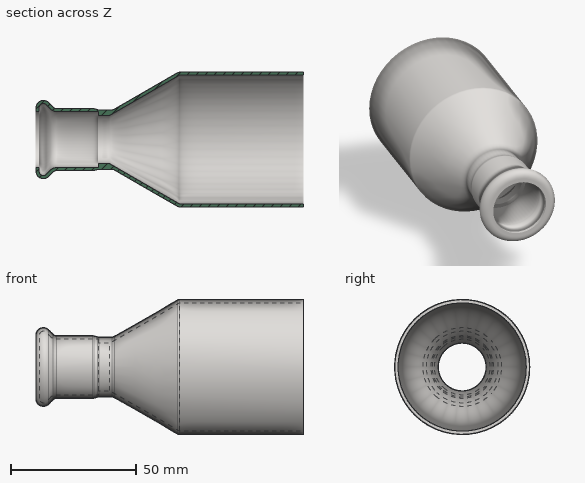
import cadquery as cq
import math

LENGTH = 107.0
BODY_RADIUS = 54.0 / 2
SOCKET_RADIUS = 25.0 / 2
NECK_RADIUS = 24.0 / 2
WALL = 1.4

BEAD_RADIUS = 15.7
BEAD_ROUND = 3.0
BEAD_ANGLE = math.radians(45)
BEAD_ROOT_ROUND = 1.8
STEP_START = 23.0
STEP_END = 24.9
STEP_ROUND = 2.4
CONE_START = 30.9
CONE_ANGLE = math.radians(30)
CONE_ROUND = 1.8

SOCKET_BORE = SOCKET_RADIUS - WALL
NECK_BORE = 9.5
BODY_BORE = BODY_RADIUS - WALL
GROOVE_START = WALL
GROOVE_ROUND = BEAD_ROUND - WALL

BEAD_BACK = BEAD_ROUND * (1 + math.tan(BEAD_ANGLE / 2))
BEAD_END = BEAD_BACK + (BEAD_RADIUS - SOCKET_RADIUS) / math.tan(BEAD_ANGLE)
CONE_END = CONE_START + (BODY_RADIUS - NECK_RADIUS) / math.tan(CONE_ANGLE)
GROOVE_END = BEAD_END - WALL * math.tan(BEAD_ANGLE / 2)
BEAD_CORNER = SOCKET_RADIUS + BEAD_END * math.tan(BEAD_ANGLE)
GROOVE_CORNER = SOCKET_BORE + (GROOVE_END - GROOVE_START) * math.tan(BEAD_ANGLE)
CONE_BORE_END = CONE_END + WALL * math.tan(CONE_ANGLE / 2)
CONE_BORE_START = CONE_BORE_END - (BODY_BORE - NECK_BORE) / math.tan(CONE_ANGLE)


def rounded_profile(corners):
    """Closed (x, radius) outline whose corners carry tangent arcs of the given round."""
    minimum_line = 1.07e-06
    profile = None
    for index, (x, y, rounding) in enumerate(corners):
        corner = cq.Vector(x, y)
        before = cq.Vector(*corners[index - 1][:2])
        after = cq.Vector(*corners[(index + 1) % len(corners)][:2])
        to_before = (before - corner).normalized()
        to_after = (after - corner).normalized()
        half_angle = to_before.getAngle(to_after) / 2
        tangent_length = rounding / math.tan(half_angle)
        start = corner + to_before * tangent_length
        end = corner + to_after * tangent_length
        if profile is None:
            profile = cq.Workplane("XY").moveTo(start.x, start.y)
            last = start
        if (start - last).Length > minimum_line:
            profile = profile.lineTo(start.x, start.y)
        if rounding > 0:
            bisector = (to_before + to_after).normalized()
            middle = corner + bisector * (rounding / math.sin(half_angle) - rounding)
            profile = profile.threePointArc((middle.x, middle.y), (end.x, end.y))
        last = end
    return profile.close()


def turned(corners):
    """Solid of revolution about X."""
    return rounded_profile(corners).revolve(360, (0, 0, 0), (1, 0, 0))


def outside():
    return turned([
        (0, 0, 0),
        (0, BEAD_CORNER, BEAD_ROUND),
        (BEAD_END, SOCKET_RADIUS, BEAD_ROOT_ROUND),
        (STEP_START, SOCKET_RADIUS, STEP_ROUND),
        (STEP_END, NECK_RADIUS, STEP_ROUND),
        (CONE_START, NECK_RADIUS, CONE_ROUND),
        (CONE_END, BODY_RADIUS, CONE_ROUND),
        (LENGTH, BODY_RADIUS, 0),
        (LENGTH, 0, 0),
    ])


def inside():
    return turned([
        (0, 0, 0),
        (0, SOCKET_BORE, 0),
        (GROOVE_START, SOCKET_BORE, 0),
        (GROOVE_START, GROOVE_CORNER, GROOVE_ROUND),
        (GROOVE_END, SOCKET_BORE, BEAD_ROOT_ROUND + WALL),
        (STEP_END, SOCKET_BORE, 0),
        (STEP_END, NECK_BORE, 0),
        (CONE_BORE_START, NECK_BORE, 0),
        (CONE_BORE_END, BODY_BORE, 0),
        (LENGTH, BODY_BORE, 0),
        (LENGTH, 0, 0),
    ])


result = outside().cut(inside())